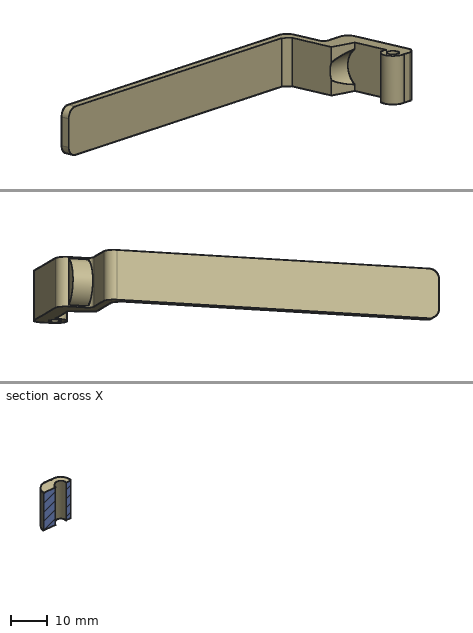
import cadquery as cq

length = 104.5
width = 38.2
height = 13.8

arm_thickness = 2.6
ledge_back = -9.5
ledge_front = -12.3
back_bar_front = -4.8
corner_radius = 2.8
inner_chamfer = 2.0

block_left = 13.7
block_right_back = 20.6
block_right_front = 18.6
step_fillet = 1.7

barrel_radius = 3.3
barrel_x = width - barrel_radius
barrel_y = -5.7
pin_hole_diameter = 3.5

pad_back = -2.9
pad_front = -8.6
pad_radius = 7.3
pad_left = 9.8

recess_radius = 6.4
recess_x = 24.5


def cylinder_along_y(x, radius, y_front, y_back):
    """Solid cylinder parallel to Y, centred at mid-height of the part."""
    plane = cq.Workplane("XZ", origin=(x, y_back, 0))
    return plane.circle(radius).extrude(y_back - y_front)


def make_bracket():
    """Long arm, ledge, block and back bar as one bent plate, with its corners eased."""
    outline = [
        (0, -length),
        (arm_thickness, -length),
        (arm_thickness, ledge_front),
        (block_right_front, ledge_front),
        (block_right_back, back_bar_front),
        (width, back_bar_front),
        (width, 0),
        (block_left, 0),
        (block_left, ledge_back),
        (0, ledge_back),
    ]
    bracket = cq.Workplane("XY").polyline(outline).close().extrude(height / 2, both=True)

    def upright_edge(x, y):
        return cq.selectors.NearestToPointSelector((x, y, 0))

    for x, y in [(0, ledge_back), (block_left, 0), (width, 0)]:
        bracket = bracket.edges(upright_edge(x, y)).fillet(corner_radius)
    bracket = bracket.edges(upright_edge(block_left, ledge_back)).fillet(step_fillet)
    bracket = bracket.edges(upright_edge(arm_thickness, ledge_front)).chamfer(inner_chamfer)
    return bracket.faces("<Y").edges("|X").fillet(corner_radius)


def hinge_cylinder(radius):
    """Full-height upright cylinder on the hinge axis."""
    circle = cq.Workplane("XY").center(barrel_x, barrel_y).circle(radius)
    return circle.extrude(height / 2, both=True)


def make_pad():
    """Left-hand cap of a cylinder, reaching into the block past the step fillet."""
    pad = cylinder_along_y(pad_left + pad_radius, pad_radius, pad_front, pad_back)
    cap_depth = block_left + step_fillet - pad_left
    cap_zone = cq.Workplane("XY").box(cap_depth, length, height, centered=(False, True, True))
    cap_zone = cap_zone.translate((pad_left, 0, 0))
    return pad.intersect(cap_zone)


recess = cylinder_along_y(recess_x, recess_radius, ledge_front, back_bar_front)

barrel = hinge_cylinder(barrel_radius)
pin_hole = hinge_cylinder(pin_hole_diameter / 2)

result = make_bracket().cut(recess).union(barrel).union(make_pad()).cut(pin_hole)